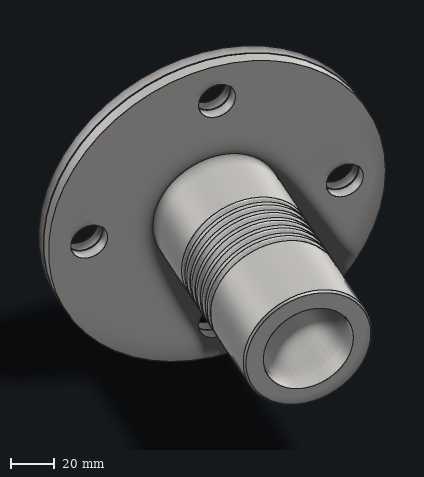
import cadquery as cq
import math

total_length = 124.0
flange_diameter = 165.0

flange_thickness = 12.2
plate_gap = 0.5
raised_face_diameter = 81.8
plate_thickness = (flange_thickness - plate_gap) / 2

bolt_count = 4
bolt_hole_diameter = 18.0
bolt_circle_radius = 62.5

tube_diameter = 63.0
bore_diameter = 44.0
recess_diameter = 50.0
recess_depth = 3.1
end_chamfer = 1.0

groove_count = 6
first_groove_start = 47.7
groove_pitch = 6.3
groove_width = 4.0
groove_depth = 0.7


def cylinder(diameter, start, length):
    """Solid cylinder on the X axis, running from x = start."""
    return cq.Workplane("YZ", origin=(start, 0, 0)).circle(diameter / 2).extrude(length)


def make_flange():
    front_plate = cylinder(flange_diameter, 0, plate_thickness)
    back_plate = cylinder(flange_diameter, plate_thickness + plate_gap, plate_thickness)
    raised_face = cylinder(raised_face_diameter, 0, flange_thickness)
    flange = raised_face.union(front_plate).union(back_plate)
    for index in range(bolt_count):
        angle = 2 * math.pi * index / bolt_count
        hole = cylinder(bolt_hole_diameter, 0, flange_thickness).translate(
            (0, bolt_circle_radius * math.cos(angle), bolt_circle_radius * math.sin(angle))
        )
        flange = flange.cut(hole)
    return flange


def make_groove_ring(start):
    """Ring whose inner side is an arc dipping below the tube surface."""
    radius = tube_diameter / 2
    return (
        cq.Workplane("XY")
        .moveTo(start, radius)
        .threePointArc(
            (start + groove_width / 2, radius - groove_depth),
            (start + groove_width, radius),
        )
        .close()
        .revolve(360, (0, 0, 0), (1, 0, 0))
    )


def make_tube():
    tube = cylinder(tube_diameter, 0, total_length).faces(">X").edges().chamfer(end_chamfer)
    for index in range(groove_count):
        tube = tube.cut(make_groove_ring(first_groove_start + index * groove_pitch))
    return tube


bore = cylinder(bore_diameter, 0, total_length)
recess = cylinder(recess_diameter, 0, recess_depth)
result = make_flange().union(make_tube()).cut(bore).cut(recess)